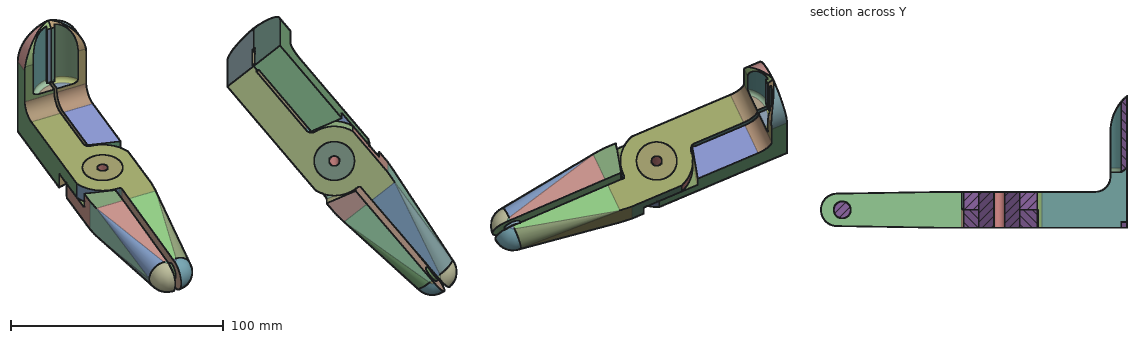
import cadquery as cq
import math

LENGTH = 144.0
HALF_WIDTH = 16.0
THICKNESS = 17.0
MID_Z = THICKNESS / 2

PIVOT_X = 60.0
DISC_RADIUS = 17.0
JAW_LAP_CLEARANCE = 0.5
HANDLE_LAP_CLEARANCE = 0.7
LAP_TILT = 15.0
JAW_LAP_FILLET = 1.0
HANDLE_LAP_FILLET = 0.5
HANDLE_JOINT_FILLET = 3.0
JAW_JOINT_FILLET = 1.0
PIN_RADIUS = 9.5
PIN_BORE_RADIUS = 2.5

HANDLE_GAP = 1.5
UPRIGHT_THICKNESS = 7.9
UPRIGHT_FILLET = 7.0
UPRIGHT_HEIGHT = 62.0
ARCH_START_Z = 42.5
TOP_CURVE_START_Z = 45.2
SCOOP_FLOOR_Z = 26.0
SCOOP_FILLET = 2.2
SCOOP_HALF_WIDTH = 11.7
WEB_THICKNESS = 1.7
RIB_HALF_WIDTH = 2.0
STOP_DEPTH = 2.9

JAW_GAP = 3.0
TAPER_START_X = 80.0
LOFT_START_X = 86.0
NOSE_DEPTH = 9.2
NOSE_HEIGHT = 15.4
LOFT_CORNER = 0.07
BOSS_RADIUS = 4.0
BOSS_X = 133.9

HANDLE_FACE_Y = -HANDLE_GAP / 2
JAW_FACE_Y = JAW_GAP / 2
NOSE_START_X = LENGTH - NOSE_DEPTH
NOSE_SIDE_Y = JAW_FACE_Y + NOSE_DEPTH
NOSE_RADIUS = NOSE_HEIGHT / 2
NOSE_CENTER_Y = NOSE_SIDE_Y - NOSE_RADIUS
TAPER_SLOPE = (HALF_WIDTH - NOSE_SIDE_Y) / (NOSE_START_X - TAPER_START_X)
LOFT_SIDE_Y = HALF_WIDTH - TAPER_SLOPE * (LOFT_START_X - TAPER_START_X)
DIAGONAL = math.sqrt(0.5)


def box(x0, x1, y0, y1, z0, z1):
    return cq.Workplane("XY").box(x1 - x0, y1 - y0, z1 - z0, centered=False).translate((x0, y0, z0))


def arc_rise_radius(run, rise):
    """Radius of an arc that starts along the rise and moves sideways by the run."""
    return (run ** 2 + rise ** 2) / (2 * run)


def inward_arc_middle(start, run, rise):
    """Halfway point of an arc leaving start straight up and bending inward by the run."""
    radius = arc_rise_radius(run, rise)
    half_angle = math.asin(rise / radius) / 2
    return start[0] - radius * (1 - math.cos(half_angle)), start[1] + radius * math.sin(half_angle)


def jaw_section(x, side_y, half_height, corner):
    """Closed section facing X: flat inner face and two rounded outer corners."""
    mid = corner * (1 - DIAGONAL)
    low, high = MID_Z - half_height, MID_Z + half_height
    return (
        cq.Workplane("YZ", origin=(x, 0, 0))
        .moveTo(JAW_FACE_Y, low)
        .lineTo(side_y - corner, low)
        .threePointArc((side_y - mid, low + mid), (side_y, low + corner))
        .lineTo(side_y, high - corner)
        .threePointArc((side_y - mid, high - mid), (side_y - corner, high))
        .lineTo(JAW_FACE_Y, high)
        .close()
    )


def jaw_taper():
    """Ruled transition from the rectangular jaw root to the round-sided nose."""
    root = jaw_section(LOFT_START_X, LOFT_SIDE_Y, MID_Z, LOFT_CORNER).val()
    tip = jaw_section(NOSE_START_X, NOSE_SIDE_Y, NOSE_RADIUS, NOSE_RADIUS - LOFT_CORNER).val()
    return cq.Workplane(cq.Solid.makeLoft([root, tip], True))


def jaw_nose():
    """Half-round section swung a quarter turn about the inner jaw edge."""
    return (
        cq.Workplane("YZ", origin=(NOSE_START_X, 0, MID_Z))
        .moveTo(JAW_FACE_Y, -NOSE_RADIUS)
        .lineTo(NOSE_CENTER_Y, -NOSE_RADIUS)
        .threePointArc((NOSE_SIDE_Y, 0), (NOSE_CENTER_Y, NOSE_RADIUS))
        .lineTo(JAW_FACE_Y, NOSE_RADIUS)
        .close()
        .revolve(90, (JAW_FACE_Y, 1.5, 0), (JAW_FACE_Y, 0, 0))
    )


def jaw_boss():
    return (
        cq.Workplane("XZ", origin=(BOSS_X, 0, MID_Z))
        .circle(BOSS_RADIUS)
        .extrude(-JAW_FACE_Y)
    )


def jaw_root():
    return (
        cq.Workplane("XY")
        .polyline([
            (PIVOT_X, JAW_FACE_Y),
            (LOFT_START_X, JAW_FACE_Y),
            (LOFT_START_X, LOFT_SIDE_Y),
            (TAPER_START_X, HALF_WIDTH),
            (PIVOT_X, HALF_WIDTH),
        ])
        .close()
        .extrude(THICKNESS)
    )


def lap_disc():
    """Full-height pivot disc, trimmed to the width of the tool."""
    disc = cq.Workplane("XY").center(PIVOT_X, 0).circle(DISC_RADIUS).extrude(THICKNESS)
    return disc.intersect(box(0, LENGTH, -HALF_WIDTH, HALF_WIDTH, 0, THICKNESS))


def lap_recess():
    """Room in the lower layer for the other arm's disc."""
    handle_wall_x = -DISC_RADIUS - HANDLE_LAP_CLEARANCE
    jaw_wall_x = DISC_RADIUS + JAW_LAP_CLEARANCE
    slanted = (
        box(handle_wall_x, jaw_wall_x, -2 * HALF_WIDTH, 2 * HALF_WIDTH, 0, MID_Z)
        .edges("|Y and >Z and <X")
        .fillet(HANDLE_LAP_FILLET)
        .edges("|Y and >Z and >X")
        .fillet(JAW_LAP_FILLET)
        .rotate((0, 0, 0), (0, 0, 1), LAP_TILT)
        .translate((PIVOT_X, 0, 0))
    )
    other_disc = cq.Workplane("XY").center(PIVOT_X, 0).circle(DISC_RADIUS).extrude(MID_Z)
    return slanted.union(other_disc)


def arm_base():
    """Flat arm: handle on -Y, disc in the upper layer, jaw on +Y."""
    handle = box(0, PIVOT_X, -HALF_WIDTH, HANDLE_FACE_Y, 0, THICKNESS)
    flat = handle.union(lap_disc()).union(jaw_root())
    handle_joint_x = PIVOT_X - math.sqrt(DISC_RADIUS ** 2 - HANDLE_FACE_Y ** 2)
    jaw_joint_x = PIVOT_X + math.sqrt(DISC_RADIUS ** 2 - JAW_FACE_Y ** 2)
    handle_corner = cq.NearestToPointSelector((handle_joint_x, HANDLE_FACE_Y, MID_Z))
    flat = flat.edges(handle_corner).fillet(HANDLE_JOINT_FILLET)
    jaw_corner = cq.NearestToPointSelector((jaw_joint_x, JAW_FACE_Y, MID_Z))
    flat = flat.edges(jaw_corner).fillet(JAW_JOINT_FILLET)
    flat = flat.cut(lap_recess())
    arm = flat.union(jaw_taper()).union(jaw_nose()).union(jaw_boss())
    bore = cq.Workplane("XY").center(PIVOT_X, 0).circle(PIN_RADIUS).extrude(THICKNESS)
    return arm.cut(bore)


def upright_side_profile():
    """L-shaped foot and upright, filleted inside and rounded back toward the top."""
    foot_x = UPRIGHT_THICKNESS + UPRIGHT_FILLET
    fillet_mid = UPRIGHT_FILLET * (1 - DIAGONAL)
    curve_rise = UPRIGHT_HEIGHT - TOP_CURVE_START_Z
    return (
        cq.Workplane("XZ")
        .moveTo(0, 0)
        .lineTo(foot_x, 0)
        .lineTo(foot_x, THICKNESS)
        .threePointArc(
            (UPRIGHT_THICKNESS + fillet_mid, THICKNESS + fillet_mid),
            (UPRIGHT_THICKNESS, THICKNESS + UPRIGHT_FILLET),
        )
        .lineTo(UPRIGHT_THICKNESS, TOP_CURVE_START_Z)
        .threePointArc(
            inward_arc_middle((UPRIGHT_THICKNESS, TOP_CURVE_START_Z), UPRIGHT_THICKNESS, curve_rise),
            (0, UPRIGHT_HEIGHT),
        )
        .close()
        .extrude(HALF_WIDTH)
    )


def upright_arch():
    """Half of a pointed arch, filling the -Y side."""
    arch_rise = UPRIGHT_HEIGHT - ARCH_START_Z
    mid_y, mid_z = inward_arc_middle((HALF_WIDTH, ARCH_START_Z), HALF_WIDTH, arch_rise)
    return (
        cq.Workplane("YZ")
        .moveTo(0, 0)
        .lineTo(-HALF_WIDTH, 0)
        .lineTo(-HALF_WIDTH, ARCH_START_Z)
        .threePointArc((-mid_y, mid_z), (0, UPRIGHT_HEIGHT))
        .close()
        .extrude(UPRIGHT_THICKNESS + UPRIGHT_FILLET)
    )


def finger_scoop():
    """Round hollow with a filleted floor, open toward the jaws, with a rib left along its middle."""
    radius = arc_rise_radius(UPRIGHT_THICKNESS - WEB_THICKNESS, SCOOP_HALF_WIDTH)
    hollow = (
        cq.Workplane("XY", origin=(WEB_THICKNESS + radius, 0, SCOOP_FLOOR_Z))
        .circle(radius)
        .extrude(UPRIGHT_HEIGHT - SCOOP_FLOOR_Z)
        .faces("<Z")
        .edges()
        .fillet(SCOOP_FILLET)
    )
    rib = box(0, STOP_DEPTH, -RIB_HALF_WIDTH, RIB_HALF_WIDTH, 0, UPRIGHT_HEIGHT)
    return hollow.cut(rib)


def handle_gap():
    """Clearance between the handles, leaving stops at the foot and in the web."""
    end_x = UPRIGHT_THICKNESS + UPRIGHT_FILLET
    return (
        cq.Workplane("XZ")
        .polyline([
            (0, STOP_DEPTH),
            (STOP_DEPTH, STOP_DEPTH),
            (STOP_DEPTH, 0),
            (end_x, 0),
            (end_x, UPRIGHT_HEIGHT),
            (STOP_DEPTH, UPRIGHT_HEIGHT),
            (STOP_DEPTH, SCOOP_FLOOR_Z),
            (0, SCOOP_FLOOR_Z + SCOOP_FILLET),
        ])
        .close()
        .extrude(-HANDLE_FACE_Y)
    )


def upright():
    return upright_side_profile().intersect(upright_arch()).cut(finger_scoop()).cut(handle_gap())


def front_arm():
    """Arm with its handle on -Y and its disc on top."""
    return arm_base().union(upright())


def rear_arm():
    """Arm with its handle on +Y and its disc underneath."""
    base = arm_base().rotate((0, 0, MID_Z), (1, 0, MID_Z), 180)
    return base.union(upright().mirror("XZ"))


def pivot_pin():
    return (
        cq.Workplane("XY")
        .center(PIVOT_X, 0)
        .circle(PIN_RADIUS)
        .circle(PIN_BORE_RADIUS)
        .extrude(THICKNESS)
    )


result = cq.Compound.makeCompound([front_arm().val(), rear_arm().val(), pivot_pin().val()])